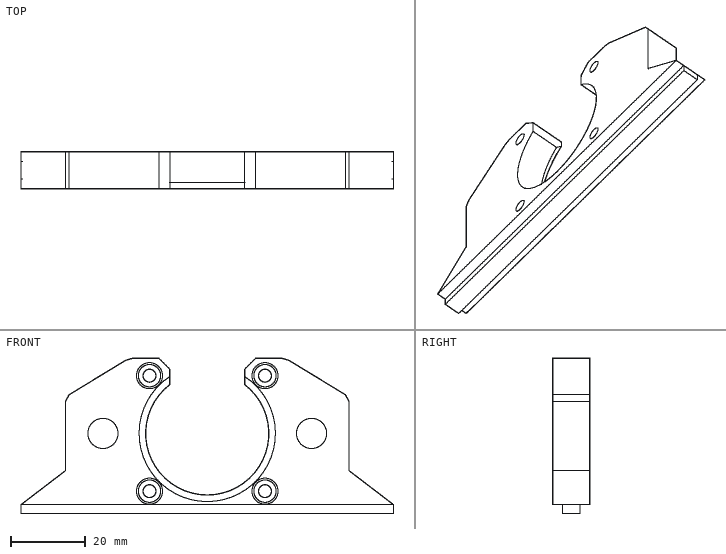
import cadquery as cq

length = 100.0
thickness = 10.0
height = 41.7
tongue_height = 2.4
tongue_width = 4.7
body_half_width = 38.1
wing_top = 11.5
shoulder_height = 31.3
crown_half_width = 21.0
side_corner_chamfer = 1.2
crown_corner_chamfer = 1.0

bore_radius = 16.5
bore_height = 21.5
bore_chamfer = 1.8
gap_width = 20.0
gap_chamfer = 3.0

screw_spacing = 31.0
screw_diameter = 3.4
counterbore_diameter = 6.0
counterbore_depth = 6.0
rim_chamfer = 0.5

pin_spacing = 56.0
pin_diameter = 8.1
pin_depth = 5.0

front_y = -thickness / 2
half_length = length / 2


def front_plane():
    """Front face, with local Y along Z and the normal pointing out of the part."""
    return cq.Workplane("XZ", origin=(0, front_y, 0))


def edge_at(x, z):
    """Selector for the edge through the plate at (x, z)."""
    margin = 0.1
    return cq.selectors.BoxSelector(
        (x - margin, front_y - margin, z - margin),
        (x + margin, -front_y + margin, z + margin),
    )


def make_plate():
    right_side = [
        (half_length, tongue_height),
        (body_half_width, wing_top),
        (body_half_width, shoulder_height),
        (crown_half_width, height),
    ]
    left_side = [(-x, z) for x, z in reversed(right_side)]
    plate = front_plane().polyline(right_side + left_side).close().extrude(-thickness)
    for side in (-1, 1):
        plate = plate.edges(edge_at(side * body_half_width, shoulder_height)).chamfer(side_corner_chamfer)
        plate = plate.edges(edge_at(side * crown_half_width, height)).chamfer(crown_corner_chamfer)
    return plate


def make_tongue():
    return cq.Workplane("XY").box(length, tongue_width, tongue_height, centered=(True, True, False))


def make_gap():
    """Slot from the bore centre to the top, flared at its mouth."""
    half_gap = gap_width / 2
    right_side = [
        (half_gap, bore_height),
        (half_gap, height - gap_chamfer),
        (half_gap + gap_chamfer, height),
    ]
    left_side = [(-x, z) for x, z in reversed(right_side)]
    return front_plane().polyline(right_side + left_side).close().extrude(-thickness)


def make_round_cut(diameter, depth, chamfer=0):
    """Cutter going in from the front at the origin, with an optional 45 degree flare."""
    cutter = front_plane().circle(diameter / 2).extrude(-depth)
    if chamfer:
        cone = cq.Solid.makeCone(
            diameter / 2 + chamfer, diameter / 2, chamfer, cq.Vector(0, front_y, 0), cq.Vector(0, 1, 0)
        )
        cutter = cutter.union(cq.Workplane(cone))
    return cutter


bore = make_round_cut(2 * bore_radius, thickness, bore_chamfer)
screw_hole = make_round_cut(counterbore_diameter, counterbore_depth, rim_chamfer).union(
    make_round_cut(screw_diameter, thickness)
)
pin_hole = make_round_cut(pin_diameter, pin_depth)

result = make_plate().union(make_tongue()).cut(make_gap())
result = result.cut(bore.translate((0, 0, bore_height)))
for side in (-1, 1):
    result = result.cut(pin_hole.translate((side * pin_spacing / 2, 0, bore_height)))
    for level in (-1, 1):
        screw_z = bore_height + level * screw_spacing / 2
        result = result.cut(screw_hole.translate((side * screw_spacing / 2, 0, screw_z)))